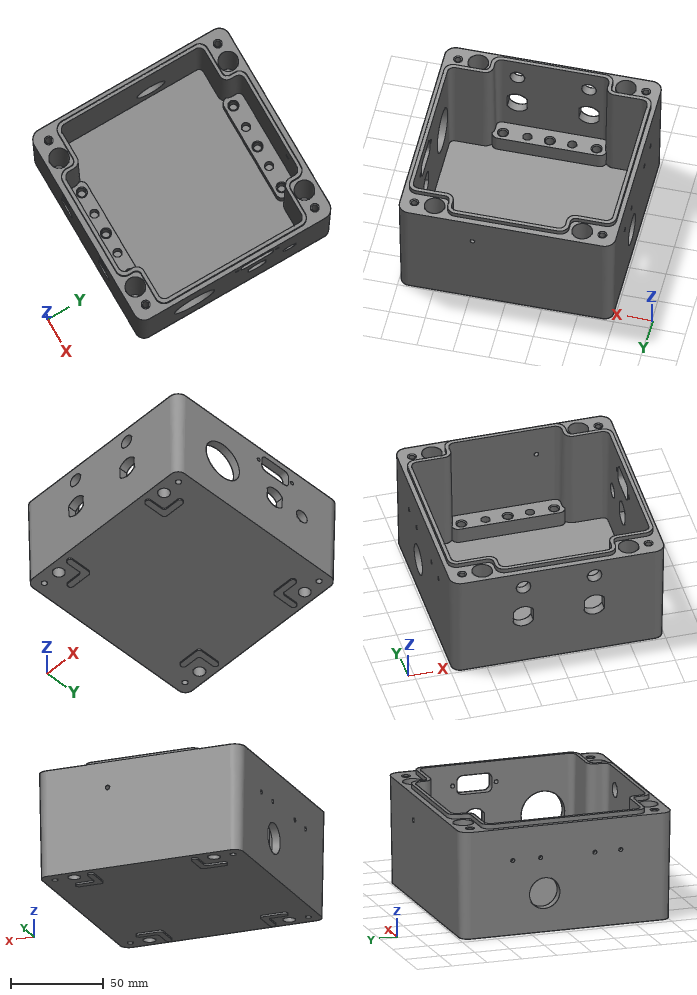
import cadquery as cq
import math

BOX_X = 120.0
BOX_Y = 122.0
BOX_HEIGHT = 60.6
BOX_CORNER_RADIUS = 6.1
DRAFT = 1.0

LIP_HEIGHT = 2.5
LIP_WIDTH = 2.1
LIP_HALF_X = 57.5
LIP_HALF_Y = 57.8
LIP_NOTCH_X = 33.7
LIP_NOTCH_Y = 46.7
LIP_CORNER_RADIUS = 5.0
LIP_NOTCH_RADIUS = 3.0
CAVITY_CORNER_RADIUS = 3.7
CAVITY_NOTCH_RADIUS = 4.5

FLOOR_THICKNESS = 4.3
TOP = BOX_HEIGHT + LIP_HEIGHT

BOLT_X = 41.0
BOLT_Y = 53.0
BOLT_DIAMETER = 7.0
COUNTERBORE_DIAMETER = 11.1
COUNTERBORE_DEPTH = 48.8
LID_SCREW_X = 52.2
LID_SCREW_DIAMETER = 3.3
LID_SCREW_MOUTH = 4.8
LID_SCREW_MOUTH_ANGLE = 60.0

FOOT_HEIGHT = 1.0
FOOT_LEG = 15.9
FOOT_WIDTH = 3.8
FOOT_INNER_X = 28.5
FOOT_INNER_Y = 40.6
FOOT_RADIUS = 1.8

BLOCK_HALF_LENGTH = 31.7
BLOCK_FRONT_Y = 42.8
BLOCK_TOP = 13.3
BLOCK_RADIUS = 3.7
BLOCK_HOLE_Y = 47.5
BLOCK_HOLE_DEPTH = 8.5
SCREW_PITCH = 26.0
SCREW_DIAMETER = 4.8
SCREW_MOUTH = 6.0
SCREW_MOUTH_ANGLE = 45.0
PLAIN_PITCH = 12.5
PLAIN_DIAMETER = 4.9

WALL_CUT = 12.2
FLAT_HOLE_DIAMETER = 13.2
FLAT_HOLE_WIDTH = 11.1
FLAT_HOLE_Z = 30.7

FRONT_HOLE_X = 19.9
FRONT_HOLE_Z = 51.0
SMALL_HOLE_DIAMETER = 8.0

PIN_DIAMETER = 2.2
PIN_DEPTH = 3.0
PIN_TIP_ANGLE = 59.0
PIN_YS = (31.0, 15.0, -16.1, -31.0)
PIN_Z = 42.3
CABLE_DIAMETER = 17.5
CABLE_Z = 22.0

SOCKET_Y = 12.6
ROUND_HOLE_Y = 33.0
GLAND_Y = -26.6
GLAND_DIAMETER = 25.0
CONNECTOR_Z = 51.2
CONNECTOR_LENGTH = 20.0
CONNECTOR_HEIGHT = 10.6
CONNECTOR_RADIUS = 3.0
CONNECTOR_SCREW_PITCH = 25.0
CONNECTOR_SCREW_DIAMETER = 2.2

BACK_HOLE_X = 18.2
BACK_HOLE_Z = 46.0
BACK_HOLE_DIAMETER = 2.5

CORNER_SIGNS = ((1, 1), (-1, 1), (-1, -1), (1, -1))


def rounded_outline(plane, corners):
    """Closed outline of axis-parallel sides; each corner is (x, y, radius)."""
    path = None
    for i, (x, y, radius) in enumerate(corners):
        before = corners[i - 1]
        after = corners[(i + 1) % len(corners)]
        incoming = cq.Vector(x - before[0], y - before[1]).normalized()
        outgoing = cq.Vector(after[0] - x, after[1] - y).normalized()
        corner = cq.Vector(x, y)
        start = corner - incoming * radius
        middle = corner + (outgoing - incoming) * (radius * (1 - math.sqrt(0.5)))
        end = corner + outgoing * radius
        path = plane.moveTo(start.x, start.y) if path is None else path.lineTo(start.x, start.y)
        path = path.threePointArc(middle.toTuple()[:2], end.toTuple()[:2])
    return path.close()


def lip_outline(plane, inset, outer, inner):
    """Rectangle with its four corners notched around the bolts, moved inwards by inset."""
    half_x = LIP_HALF_X - inset
    half_y = LIP_HALF_Y - inset
    notch_x = LIP_NOTCH_X - inset
    notch_y = LIP_NOTCH_Y - inset
    corners = []
    for sx, sy in CORNER_SIGNS:
        quarter = [
            (sx * half_x, sy * notch_y, outer),
            (sx * notch_x, sy * notch_y, inner),
            (sx * notch_x, sy * half_y, outer),
        ]
        corners += quarter if sx == sy else quarter[::-1]
    return rounded_outline(plane, corners)


def level(z):
    return cq.Workplane("XY", origin=(0, 0, z))


def box_shell():
    top_corners = [(sx * BOX_X / 2, sy * BOX_Y / 2, BOX_CORNER_RADIUS) for sx, sy in CORNER_SIGNS]
    body = rounded_outline(level(BOX_HEIGHT), top_corners).extrude(-BOX_HEIGHT, taper=DRAFT)
    lip = lip_outline(level(BOX_HEIGHT), 0, LIP_CORNER_RADIUS, LIP_NOTCH_RADIUS).extrude(LIP_HEIGHT)
    mouth = lip_outline(level(TOP), LIP_WIDTH, CAVITY_CORNER_RADIUS, CAVITY_NOTCH_RADIUS)
    cavity = mouth.extrude(FLOOR_THICKNESS - TOP, taper=DRAFT)
    return body.union(lip).cut(cavity)


def mounting_block(side):
    depth = LIP_HALF_Y - BLOCK_FRONT_Y
    block = (
        level(0)
        .center(0, side * (BLOCK_FRONT_Y + depth / 2))
        .rect(2 * BLOCK_HALF_LENGTH, depth)
        .extrude(BLOCK_TOP)
        .edges("|Z")
        .edges("<Y" if side > 0 else ">Y")
        .fillet(BLOCK_RADIUS)
    )
    return block.intersect(level(FLOOR_THICKNESS / 2).rect(BOX_X, BOX_Y).extrude(BLOCK_TOP))


def cone_height(radius, angle):
    """Height of a cone whose side leans by angle degrees from its axis."""
    return radius / math.tan(math.radians(angle))


def countersunk_holes(plane, points, diameter, depth, mouth, angle):
    holes = plane.pushPoints(points).circle(diameter / 2).extrude(-depth)
    mouth_depth = cone_height((mouth - diameter) / 2, angle)
    mouths = plane.pushPoints(points).circle(mouth / 2).extrude(-mouth_depth, taper=angle)
    return holes.union(mouths)


def block_holes():
    plane = level(BLOCK_TOP)
    screws = [(k * SCREW_PITCH, s * BLOCK_HOLE_Y) for k in (-1, 0, 1) for s in (-1, 1)]
    plain = [(k * PLAIN_PITCH, s * BLOCK_HOLE_Y) for k in (-1, 1) for s in (-1, 1)]
    screw_holes = countersunk_holes(
        plane, screws, SCREW_DIAMETER, BLOCK_HOLE_DEPTH, SCREW_MOUTH, SCREW_MOUTH_ANGLE
    )
    plain_holes = plane.pushPoints(plain).circle(PLAIN_DIAMETER / 2).extrude(-BLOCK_HOLE_DEPTH)
    return screw_holes.union(plain_holes)


def corner_holes():
    plane = level(BOX_HEIGHT)
    bolts = [(sx * BOLT_X, sy * BOLT_Y) for sx, sy in CORNER_SIGNS]
    screws = [(sx * LID_SCREW_X, sy * BOLT_Y) for sx, sy in CORNER_SIGNS]
    bolt_holes = plane.pushPoints(bolts).circle(BOLT_DIAMETER / 2).extrude(-BOX_HEIGHT)
    counterbores = plane.pushPoints(bolts).circle(COUNTERBORE_DIAMETER / 2).extrude(
        -COUNTERBORE_DEPTH, taper=DRAFT
    )
    screw_holes = countersunk_holes(
        plane, screws, LID_SCREW_DIAMETER, BOX_HEIGHT, LID_SCREW_MOUTH, LID_SCREW_MOUTH_ANGLE
    )
    return bolt_holes.union(counterbores).union(screw_holes)


def feet():
    far_x = FOOT_INNER_X + FOOT_LEG
    far_y = FOOT_INNER_Y + FOOT_LEG
    bend_x = FOOT_INNER_X + FOOT_WIDTH
    bend_y = FOOT_INNER_Y + FOOT_WIDTH
    outline = [
        (FOOT_INNER_X, FOOT_INNER_Y),
        (far_x, FOOT_INNER_Y),
        (far_x, bend_y),
        (bend_x, bend_y),
        (bend_x, far_y),
        (FOOT_INNER_X, far_y),
    ]
    corners = [(x, y, FOOT_RADIUS) for x, y in outline]
    foot = rounded_outline(level(0), corners).extrude(-FOOT_HEIGHT)
    pair = foot.union(foot.mirror("YZ"))
    return pair.union(pair.mirror("XZ"))


def side_plane(x):
    """Local x is the part's y, local y is z."""
    return cq.Workplane("YZ", origin=(x, 0, 0))


def flat_hole(plane, points):
    rounds = plane.pushPoints(points).circle(FLAT_HOLE_DIAMETER / 2).extrude(WALL_CUT)
    flats = plane.pushPoints(points).rect(FLAT_HOLE_WIDTH, FLAT_HOLE_DIAMETER).extrude(WALL_CUT)
    return rounds.intersect(flats)


def front_openings():
    sides = (-FRONT_HOLE_X, FRONT_HOLE_X)
    plane = cq.Workplane("XZ", origin=(0, WALL_CUT - BOX_Y / 2, 0))
    small = (
        plane.pushPoints([(x, FRONT_HOLE_Z) for x in sides])
        .circle(SMALL_HOLE_DIAMETER / 2)
        .extrude(WALL_CUT)
    )
    return small.union(flat_hole(plane, [(x, FLAT_HOLE_Z) for x in sides]))


def left_openings():
    plane = side_plane(-BOX_X / 2)
    points = [(y, PIN_Z) for y in PIN_YS]
    pins = plane.pushPoints(points).circle(PIN_DIAMETER / 2).extrude(PIN_DEPTH)
    tip_height = cone_height(PIN_DIAMETER / 2, PIN_TIP_ANGLE)
    for y, z in points:
        tip = cq.Solid.makeCone(
            PIN_DIAMETER / 2,
            0,
            tip_height,
            cq.Vector(PIN_DEPTH - BOX_X / 2, y, z),
            cq.Vector(1, 0, 0),
        )
        pins = pins.union(cq.Workplane(tip))
    cable = plane.center(SOCKET_Y, CABLE_Z).circle(CABLE_DIAMETER / 2).extrude(WALL_CUT)
    return pins.union(cable)


def right_openings():
    plane = side_plane(BOX_X / 2 - WALL_CUT)
    connector = (
        plane.center(SOCKET_Y, CONNECTOR_Z)
        .rect(CONNECTOR_LENGTH, CONNECTOR_HEIGHT)
        .extrude(WALL_CUT)
        .edges("|X")
        .fillet(CONNECTOR_RADIUS)
    )
    ends = [(SOCKET_Y + k * CONNECTOR_SCREW_PITCH / 2, CONNECTOR_Z) for k in (-1, 1)]
    screws = plane.pushPoints(ends).circle(CONNECTOR_SCREW_DIAMETER / 2).extrude(WALL_CUT)
    small = plane.center(ROUND_HOLE_Y, FLAT_HOLE_Z).circle(SMALL_HOLE_DIAMETER / 2).extrude(WALL_CUT)
    gland = plane.center(GLAND_Y, FLAT_HOLE_Z).circle(GLAND_DIAMETER / 2).extrude(WALL_CUT)
    socket = flat_hole(plane, [(SOCKET_Y, FLAT_HOLE_Z)])
    return connector.union(screws).union(small).union(gland).union(socket)


def back_hole():
    plane = cq.Workplane("XZ", origin=(BACK_HOLE_X, BOX_Y / 2, BACK_HOLE_Z))
    return plane.circle(BACK_HOLE_DIAMETER / 2).extrude(WALL_CUT)


result = (
    box_shell()
    .union(mounting_block(1))
    .union(mounting_block(-1))
    .cut(block_holes())
    .cut(corner_holes())
    .union(feet())
    .cut(front_openings())
    .cut(left_openings())
    .cut(right_openings())
    .cut(back_hole())
)